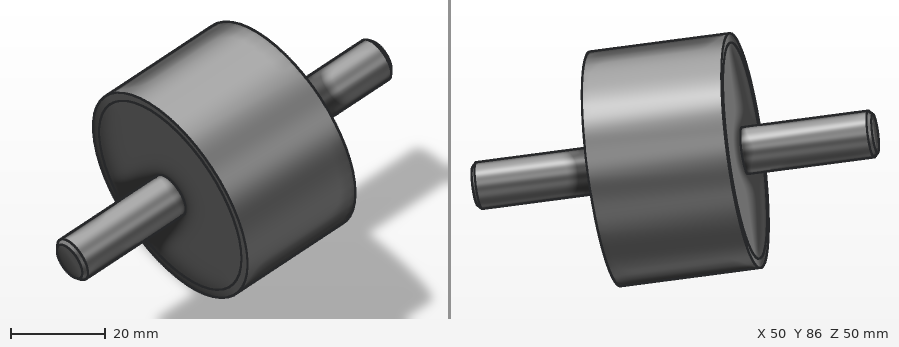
import cadquery as cq

overall_length = 86.0
rubber_diameter = 50.0
rubber_length = 30.0
plate_diameter = 46.0
plate_thickness = 2.0
stud_diameter = 10.0
stud_chamfer = 0.9

stud_length = (overall_length - rubber_length) / 2
rubber_end = rubber_length / 2


def cylinder_along_y(diameter, start, length):
    """Cylinder about the Y axis, from y = start to y = start + length."""
    return cq.Workplane("XZ", origin=(0, start, 0)).circle(diameter / 2).extrude(-length)


def make_rubber():
    """Rubber block with a shallow recess in each end for a plate."""
    block = cylinder_along_y(rubber_diameter, -rubber_end, rubber_length)
    for recess_start in (-rubber_end, rubber_end - plate_thickness):
        block = block.cut(cylinder_along_y(plate_diameter, recess_start, plate_thickness))
    return block


def make_stud_plate(side):
    """Plate flush with the rubber end, with its chamfered stud; side is -1 or 1 along Y."""
    plate = cylinder_along_y(plate_diameter, rubber_end - plate_thickness, plate_thickness)
    stud = cylinder_along_y(stud_diameter, rubber_end, stud_length)
    stud = stud.faces(">Y").chamfer(stud_chamfer)
    stud_plate = plate.union(stud)
    if side < 0:
        stud_plate = stud_plate.mirror("XZ")
    return stud_plate


rubber = make_rubber()
stud_plates = [make_stud_plate(side) for side in (-1, 1)]

result = cq.Compound.makeCompound([rubber.val(), *[body.val() for body in stud_plates]])